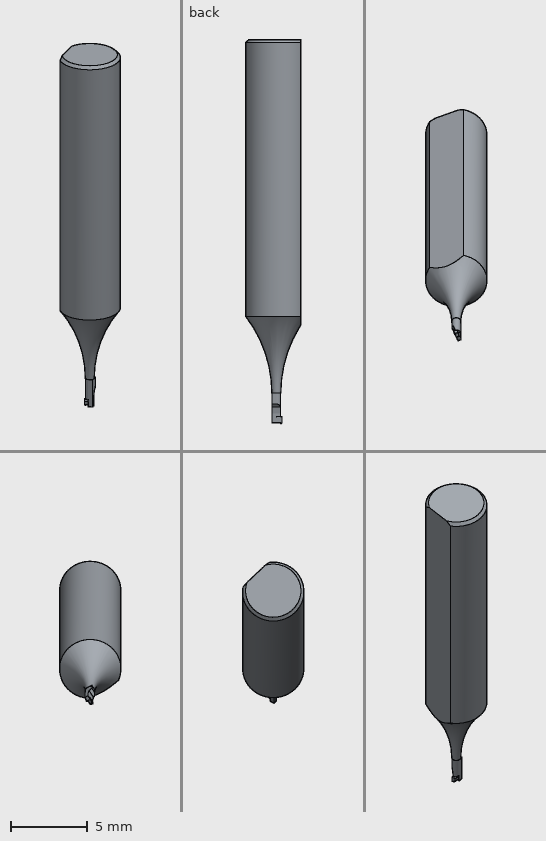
import cadquery as cq
import math

total_length = 25.0
shank_radius = 2.0
flat_distance = 1.6
top_chamfer = 0.2
shank_bottom = 7.0

taper_bottom = 2.0
taper_end_radius = 0.3

neck_diameter = 0.58
neck_radius = neck_diameter / 2
front_corner_y = -0.22
neck_bottom = 0.062

gash_top = 1.3
gash_shoulder_depth = 0.2
rake_height = 0.65

tooth_reach = 0.38
tooth_top = 0.48
clearance_top = 0.55
tooth_nose_x = -0.3
tooth_depth = 0.2
tooth_root = 0.15
relief_angle = 25.0


def make_shank_and_taper():
    """Revolved shank and hollow taper, with the flat cut away."""
    rise = shank_bottom - taper_bottom
    step = shank_radius - taper_end_radius
    arc_radius = (rise**2 + step**2) / (2 * step)
    half_rise = rise / 2
    mid_radius = taper_end_radius + arc_radius - math.sqrt(arc_radius**2 - half_rise**2)
    body = (
        cq.Workplane("XZ")
        .moveTo(0, taper_bottom)
        .lineTo(taper_end_radius, taper_bottom)
        .threePointArc((mid_radius, taper_bottom + half_rise), (shank_radius, shank_bottom))
        .lineTo(shank_radius, total_length - top_chamfer)
        .lineTo(shank_radius - top_chamfer, total_length)
        .lineTo(0, total_length)
        .close()
        .revolve(360, (0, 0, 0), (0, 1, 0))
    )
    keep = cq.Workplane("XY").box(
        flat_distance + shank_radius, 2 * shank_radius, total_length, centered=(False, True, False)
    )
    return body.intersect(keep.translate((-flat_distance, 0, 0)))


def make_neck():
    """Neck prism that hangs from the end of the taper."""
    return (
        cq.Workplane("XY", origin=(0, 0, neck_bottom))
        .moveTo(0, neck_radius)
        .threePointArc((-neck_radius, 0), (0, -neck_radius))
        .lineTo(neck_radius, front_corner_y)
        .lineTo(neck_radius, neck_radius)
        .close()
        .extrude(taper_bottom - neck_bottom)
    )


def make_chip_gash():
    """Cutter that opens the +Y side of the neck down to the rake face at Y = 0."""
    shoulder_y = neck_radius - gash_shoulder_depth
    return (
        cq.Workplane("YZ")
        .moveTo(neck_radius, gash_top)
        .lineTo(shoulder_y, gash_top - gash_shoulder_depth)
        .lineTo(0, rake_height)
        .lineTo(0, 0)
        .lineTo(neck_radius, 0)
        .close()
        .extrude(neck_radius, both=True)
    )


def make_tooth_clearance():
    """Cutter that removes the round half of the neck, sloping to meet the top of the tooth."""
    return (
        cq.Workplane("YZ")
        .moveTo(-neck_radius, 0)
        .lineTo(-neck_radius, clearance_top)
        .lineTo(0, tooth_top)
        .lineTo(0, 0)
        .close()
        .extrude(-neck_radius)
    )


def make_tooth():
    """Tooth that narrows away from the rake face to give relief behind its edges."""
    return (
        cq.Workplane("XZ")
        .moveTo(-tooth_reach, tooth_top)
        .lineTo(-tooth_reach, neck_bottom)
        .lineTo(tooth_nose_x, 0)
        .lineTo(tooth_nose_x + neck_bottom, neck_bottom)
        .lineTo(tooth_root, neck_bottom)
        .lineTo(tooth_root, tooth_top)
        .close()
        .extrude(tooth_depth, taper=relief_angle)
    )


neck = make_neck().cut(make_chip_gash()).cut(make_tooth_clearance()).union(make_tooth())
result = make_shank_and_taper().union(neck)